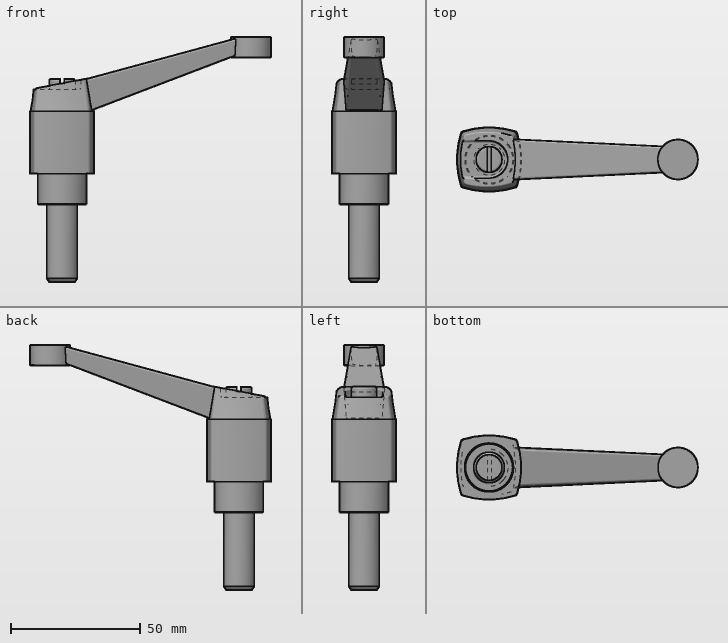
import cadquery as cq
import math

TOTAL_HEIGHT = 95

PIN_DIAMETER = 12.0
PIN_LENGTH = 30.0
PIN_TIP_DIAMETER = 10.0
PIN_TIP_LENGTH = 1.4
COLLAR_DIAMETER = 19
COLLAR_LENGTH = 12.0
COLLAR_EDGE = 0.4

HUB_WIDTH = 25.0
HUB_CORNER = 10.7
HUB_CORNER_RADIUS = 1.4
HUB_HEIGHT = 24.2
HUB_LEDGE = 0.2
CROWN_DRAFT = 8.4
CROWN_SLOPE = 10.8
CROWN_CENTER_HEIGHT = 10.8
CROWN_BLANK_HEIGHT = 17.1
CROWN_EDGE_RADIUS = 0.5

RECESS_RADIUS = 7.2
RECESS_FLOOR_RADIUS = 0.9
RECESS_DEPTH = 2.4
SCREW_DIAMETER = 10.1
SCREW_HEIGHT = 4.1
SCREW_EDGE = 0.9
SCREW_SLOT_WIDTH = 1.5
SCREW_SLOT_DEPTH = 1.9

KNOB_DIAMETER = 15.6
KNOB_HEIGHT = 8.0
KNOB_EDGE_RADIUS = 0.4
LEVER_LENGTH = 93.5

ARM_ROOT_X = 8.55
ARM_ROOT_TOP = 78.5
ARM_ROOT_BOTTOM = 65.5
ARM_ROOT_WIDTH = 16.0
ARM_TIP_X = 68.4
ARM_TIP_TOP = 94.7
ARM_TIP_BOTTOM = 88.3
ARM_TIP_WIDTH = 10.3
ARM_DRAFT = 4
ARM_TOP_RADIUS = 0.9
ARM_BOTTOM_RADIUS = 0.6

hub_bottom = PIN_LENGTH + COLLAR_LENGTH
hub_top = hub_bottom + HUB_HEIGHT
crown_center_z = hub_top + CROWN_CENTER_HEIGHT
recess_floor = crown_center_z - RECESS_DEPTH
knob_x = LEVER_LENGTH - HUB_WIDTH / 2 - KNOB_DIAMETER / 2


def make_pin():
    pin = cq.Workplane("XY").circle(PIN_DIAMETER / 2).extrude(PIN_LENGTH)
    tip_step = (PIN_DIAMETER - PIN_TIP_DIAMETER) / 2
    return pin.faces("<Z").chamfer(PIN_TIP_LENGTH, tip_step)


def make_collar():
    collar = cq.Workplane("XY").workplane(offset=PIN_LENGTH)
    collar = collar.circle(COLLAR_DIAMETER / 2).extrude(COLLAR_LENGTH)
    return collar.faces("<Z").chamfer(COLLAR_EDGE)


def bulged_square(z, inset):
    """Square outline with outward-bowed sides, shrunk by the inset, at height z."""
    middle = HUB_WIDTH / 2 - inset
    corner = HUB_CORNER - inset
    return (
        cq.Workplane("XY")
        .workplane(offset=z)
        .moveTo(corner, -corner)
        .threePointArc((middle, 0), (corner, corner))
        .threePointArc((0, middle), (-corner, corner))
        .threePointArc((-middle, 0), (-corner, -corner))
        .threePointArc((0, -middle), (corner, -corner))
        .close()
    )


def make_recess():
    """Flat-floored pocket around the axis that runs out through the -X side."""
    floor = cq.Workplane("XY").workplane(offset=recess_floor)
    round_end = floor.circle(RECESS_RADIUS).extrude(HUB_WIDTH)
    run_out = floor.center(-HUB_WIDTH / 2, 0).rect(HUB_WIDTH, 2 * RECESS_RADIUS).extrude(HUB_WIDTH)
    return round_end.union(run_out).faces("<Z").edges().fillet(RECESS_FLOOR_RADIUS)


def make_hub():
    body = bulged_square(hub_bottom, 0).extrude(HUB_HEIGHT)
    body = body.edges("|Z").fillet(HUB_CORNER_RADIUS)
    crown = bulged_square(hub_top, HUB_LEDGE).extrude(CROWN_BLANK_HEIGHT, taper=CROWN_DRAFT)
    crown = crown.edges("<<Z[1]").fillet(HUB_CORNER_RADIUS)
    above = (
        cq.Workplane("XY")
        .box(2 * HUB_WIDTH, 2 * HUB_WIDTH, CROWN_BLANK_HEIGHT, centered=(True, True, False))
        .rotate((0, 0, 0), (0, 1, 0), -CROWN_SLOPE)
        .translate((0, 0, crown_center_z))
    )
    crown = crown.cut(above).cut(make_recess())
    slope = math.radians(CROWN_SLOPE)
    slope_normal = cq.Vector(-math.sin(slope), 0, math.cos(slope))
    sloping_face = cq.selectors.ParallelDirSelector(slope_normal)
    crown = crown.faces(sloping_face).edges().fillet(CROWN_EDGE_RADIUS)
    return body.union(crown)


def arm_section(x, top, bottom, width):
    narrowing = (top - bottom) * math.tan(math.radians(ARM_DRAFT))
    half_top = width / 2
    half_bottom = half_top - narrowing
    corners = [(-half_bottom, bottom), (half_bottom, bottom), (half_top, top), (-half_top, top)]
    return cq.Workplane("YZ").workplane(offset=x).polyline(corners).close().wires().val()


def make_arm():
    root = arm_section(ARM_ROOT_X, ARM_ROOT_TOP, ARM_ROOT_BOTTOM, ARM_ROOT_WIDTH)
    tip = arm_section(ARM_TIP_X, ARM_TIP_TOP, ARM_TIP_BOTTOM, ARM_TIP_WIDTH)
    arm = cq.Workplane(cq.Solid.makeLoft([root, tip], True))
    between_ends = cq.selectors.BoxSelector(
        (HUB_WIDTH / 2, -HUB_WIDTH, 0), (knob_x - KNOB_DIAMETER, HUB_WIDTH, TOTAL_HEIGHT)
    )
    arm = arm.edges(between_ends).edges("<Z").fillet(ARM_BOTTOM_RADIUS)
    return arm.edges(between_ends).edges(">Z").fillet(ARM_TOP_RADIUS)


def make_knob():
    knob = cq.Workplane("XY").workplane(offset=TOTAL_HEIGHT - KNOB_HEIGHT)
    knob = knob.center(knob_x, 0).circle(KNOB_DIAMETER / 2).extrude(KNOB_HEIGHT)
    return knob.edges().fillet(KNOB_EDGE_RADIUS)


def make_screw_head():
    head = cq.Workplane("XY").workplane(offset=recess_floor)
    head = head.circle(SCREW_DIAMETER / 2).extrude(SCREW_HEIGHT)
    head = head.faces(">Z").fillet(SCREW_EDGE)
    slot = (
        cq.Workplane("XY")
        .workplane(offset=recess_floor + SCREW_HEIGHT)
        .rect(SCREW_SLOT_WIDTH, 2 * SCREW_DIAMETER)
        .extrude(-SCREW_SLOT_DEPTH)
    )
    return head.cut(slot)


lever = make_hub().union(make_arm()).union(make_knob())
lever = lever.cut(make_recess()).union(make_screw_head())
result = lever.union(make_collar()).union(make_pin())